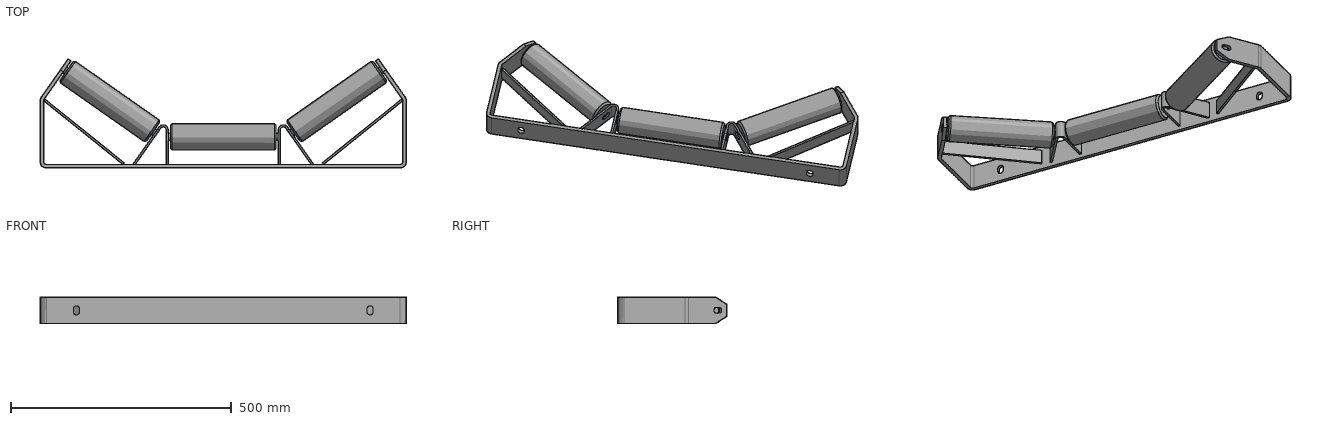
import cadquery as cq
import math


frame_length = 830.0
frame_depth = 247.0
frame_height = 60.0
strip_thickness = 8.0
bend_radius = 14.0
wing_angle = 35.0
wing_corner_y = 157.0
tip_height = 28.0
tip_taper_length = 31.0

bracket_thickness = 5.0
bracket_height = 40.0
bracket_bend_radius = 12.0
bracket_face_x = 124.5

strut_thickness = 5.0
strut_height = 33.0
strut_start_y = 152.0
strut_foot_x = 227.5
strut_weld_depth = 0.4

mount_slot_x = 333.0
mount_slot_width = 14.0
mount_slot_length = 21.0
axle_slot_width = 12.5
axle_slot_length = 21.5
axle_to_tip = 25.0

roller_diameter = 60.0
roller_length = 240.0
roller_chamfer = 4.0
axle_diameter = 17.0
middle_roller_y = 70.5
side_roller_drop = 0.3

half_length = frame_length / 2
inner_x = half_length - strip_thickness
inner_bend_radius = bend_radius - strip_thickness
mid_z = -frame_height / 2
angle = math.radians(wing_angle)
wing_length = (frame_depth - wing_corner_y) / math.cos(angle)
wing_direction = (math.sin(angle), math.cos(angle))
roller_direction = (math.cos(angle), -math.sin(angle))
axle_length = 2 * bracket_face_x


def along(start, direction, distance):
    """Point at a distance from start in a unit direction."""
    return (start[0] + direction[0] * distance, start[1] + direction[1] * distance)


wing_tip = along((-half_length, wing_corner_y), wing_direction, wing_length)
wing_slot_center = along(wing_tip, wing_direction, -axle_to_tip)
axle_start = along(wing_slot_center, roller_direction, strip_thickness)
axle_end = along(axle_start, roller_direction, axle_length)
side_roller_center = along(axle_start, roller_direction, axle_length / 2)

bracket_bend_x = -bracket_face_x - bracket_bend_radius
bracket_bend_y = axle_end[1] - (
    bracket_bend_radius + (axle_end[0] - bracket_bend_x) * math.cos(angle)
) / math.sin(angle)


def with_mirror_image(body):
    """The body together with its mirror image in the YZ plane."""
    return body.union(body.mirror("YZ"))


def wall_plane(point, normal):
    """Upright plane at mid height: local X is horizontal, local Y is vertical, normal is horizontal."""
    return cq.Plane(
        origin=(point[0], point[1], mid_z),
        xDir=(-normal[1], normal[0], 0),
        normal=(normal[0], normal[1], 0),
    )


def make_slot(point, normal, thickness, length, width, turn=0):
    """Slot through a wall, sunk from a point on its face; turned 90 degrees it stands upright."""
    return cq.Workplane(wall_plane(point, normal)).slot2D(length, width, turn).extrude(thickness)


def make_axle_slot(point, normal, thickness):
    return make_slot(point, normal, thickness, axle_slot_length, axle_slot_width)


def make_strip():
    """Base, side walls and inclined wings bent from one strip."""
    inner_corner_y = wing_corner_y - strip_thickness * math.tan(angle / 2)
    left = [
        (-half_length, 0),
        (-half_length, wing_corner_y),
        wing_tip,
        along(wing_tip, roller_direction, strip_thickness),
        (-inner_x, inner_corner_y),
        (-inner_x, strip_thickness),
    ]
    right = [(-x, y) for x, y in reversed(left)]
    strip = cq.Workplane("XY").polyline(left + right).close().extrude(-frame_height)
    bends = [
        (half_length, 0, bend_radius),
        (half_length, wing_corner_y, bend_radius),
        (inner_x, strip_thickness, inner_bend_radius),
        (inner_x, inner_corner_y, inner_bend_radius),
    ]
    for side in (-1, 1):
        for x, y, radius in bends:
            corner = cq.selectors.NearestToPointSelector((side * x, y, mid_z))
            strip = strip.edges(corner).fillet(radius)
    return strip


def make_tip_taper():
    """Two wedges that narrow the left wing towards its tip."""
    plane = wall_plane(wing_tip, roller_direction)
    wedges = cq.Workplane(plane)
    for side in (-1, 1):
        tip = side * tip_height / 2
        edge = side * frame_height / 2
        wedge = [(0, tip), (0, edge), (-tip_taper_length, edge)]
        wedges = wedges.union(cq.Workplane(plane).polyline(wedge).close().extrude(strip_thickness))
    return wedges


def make_bracket_wedge(radius):
    """Solid wedge under a bend of the given radius, with a vertical side and a sloped side."""
    slope_start = along((bracket_bend_x, bracket_bend_y), roller_direction, -radius)
    slope_length = (slope_start[1] - strip_thickness) / wing_direction[1]
    return (
        cq.Workplane("XY", origin=(0, 0, mid_z))
        .moveTo(bracket_bend_x + radius, strip_thickness)
        .lineTo(bracket_bend_x + radius, bracket_bend_y)
        .threePointArc((bracket_bend_x, bracket_bend_y + radius), slope_start)
        .lineTo(*along(slope_start, wing_direction, -slope_length))
        .close()
        .extrude(bracket_height / 2, both=True)
    )


def make_bracket():
    """Left folded bracket with an axle slot in each leg."""
    outer = make_bracket_wedge(bracket_bend_radius)
    inner = make_bracket_wedge(bracket_bend_radius - bracket_thickness)
    middle_slot = make_axle_slot((-bracket_face_x, middle_roller_y), (-1, 0), bracket_thickness)
    side_slot = make_axle_slot(axle_end, roller_direction, bracket_thickness)
    return outer.cut(inner).cut(middle_slot).cut(side_slot)


def make_strut():
    """Left flat strut from the wing corner down to the base, its square end just biting into the base."""
    start = (-inner_x, strut_start_y)
    foot = (-strut_foot_x, strip_thickness - strut_weld_depth)
    length = math.dist(start, foot)
    slope = math.degrees(math.atan2(foot[1] - start[1], foot[0] - start[0]))
    return (
        cq.Workplane("XY")
        .box(length, strut_thickness, strut_height, centered=(False, False, True))
        .rotate((0, 0, 0), (0, 0, 1), slope)
        .translate((start[0], start[1], mid_z))
    )


def make_frame():
    mount_slot = make_slot(
        (-mount_slot_x, 0), (0, 1), strip_thickness, mount_slot_length, mount_slot_width, turn=90
    )
    wing_slot = make_axle_slot(wing_slot_center, roller_direction, strip_thickness)
    cuts = with_mirror_image(mount_slot.union(wing_slot).union(make_tip_taper()))
    supports = with_mirror_image(make_bracket().union(make_strut()))
    return make_strip().cut(cuts).union(supports)


def make_roller(x, y, z, tilt):
    """Chamfered roller with an axle stub at each end, centred at a point and tilted about Z."""
    drum = cq.Workplane("YZ", origin=(-roller_length / 2, 0, 0)).circle(roller_diameter / 2)
    drum = drum.extrude(roller_length).faces("<X or >X").chamfer(roller_chamfer)
    axle = cq.Workplane("YZ").circle(axle_diameter / 2).extrude(axle_length / 2, both=True)
    return drum.union(axle).rotate((0, 0, 0), (0, 0, 1), tilt).translate((x, y, z))


frame = make_frame()
middle_roller = make_roller(0, middle_roller_y, mid_z, 0)
side_rollers = []
for side in (-1, 1):
    side_x = -side * side_roller_center[0]
    side_rollers.append(
        make_roller(side_x, side_roller_center[1], mid_z - side_roller_drop, side * wing_angle)
    )

result = cq.Compound.makeCompound(
    [frame.val(), middle_roller.val(), *[roller.val() for roller in side_rollers]]
)